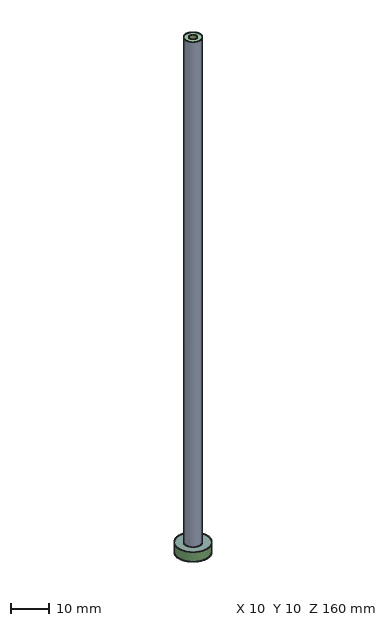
import cadquery as cq

total_length = 160.0
head_diameter = 10.0
head_height = 3.0
shaft_diameter = 5.0
bore_diameter = 2.2

head = cq.Workplane("XY").circle(head_diameter / 2).extrude(head_height)

shaft = cq.Workplane("XY").circle(shaft_diameter / 2).extrude(total_length)

bore = cq.Workplane("XY").circle(bore_diameter / 2).extrude(total_length)

result = head.union(shaft).cut(bore)